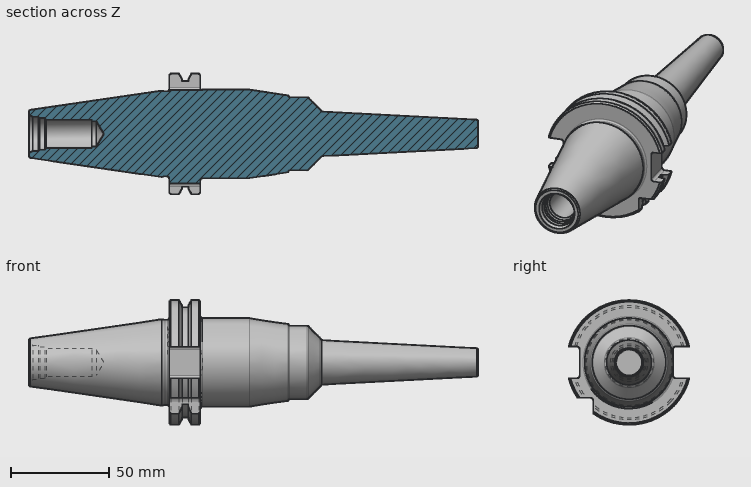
import cadquery as cq
import math

TOTAL_LENGTH = 228.2
TAPER_RATIO = 7 / 24
GAUGE_X = 68.2
GAUGE_RADIUS = 22.1
TAPER_EDGE_CHAMFER = 0.7

TAPER_END_X = 67.5
NECK_START_X = 69.0
NECK_RADIUS = 21.7
CORNER_FILLET = 1.0

FLANGE_START_X = 71.2
FLANGE_WIDTH = 16.0
FLANGE_RADIUS = 31.7
FLANGE_CHAMFER = 1.0
GROOVE_CENTRE_X = 79.5
GROOVE_FLOOR_RADIUS = 28.0
GROOVE_FLOOR_WIDTH = 3.2
GROOVE_WALL_HEIGHT = 1.0
GROOVE_HALF_ANGLE = 30.0

SLOT_WIDTH = 16.0
SLOT_FLOOR_FRONT = 25.0
SLOT_FLOOR_BACK = 22.4
SLOT_FILLET = 1.4
NOTCH_Y = 18.3
NOTCH_Z = 18.0
NOTCH_FILLET = 1.4

BODY_RADIUS = 22.5
BODY_END_X = 111.8
BODY_CONE_END_X = 131.5
LIP_FILLET = 0.5
COLLAR_RADIUS = 18.7
COLLAR_END_X = 141.3
COLLAR_ROUND_RADIUS = 1.0
SHOULDER_ANGLE = 45.0
SHOULDER_END_X = 147.7
NOSE_START_X = 148.8
NOSE_START_RADIUS = 11.5
NOSE_TIP_RADIUS = 7.3
NOSE_CHAMFER = 0.7

BORE_CORNERS = [
    (0.0, 9.5),
    (2.0, 8.7),
    (4.8, 8.7),
    (5.5, 8.0),
    (8.0, 8.0),
    (9.0, 7.0),
    (32.0, 7.0),
    (32.0, 6.5),
    (34.2, 6.5),
]
DRILL_POINT_HALF_ANGLE = 59.0

FLANGE_END_X = FLANGE_START_X + FLANGE_WIDTH


def taper_radius(x):
    """Radius of the spindle taper at position x."""
    return GAUGE_RADIUS - (GAUGE_X - x) * TAPER_RATIO / 2


def revolve_about_x(profile):
    return profile.close().revolve(360, (0, 0, 0), (1, 0, 0))


def make_turned_body():
    groove_half_floor = GROOVE_FLOOR_WIDTH / 2
    groove_wall_radius = GROOVE_FLOOR_RADIUS + GROOVE_WALL_HEIGHT
    flank_height = FLANGE_RADIUS - groove_wall_radius
    groove_half_top = groove_half_floor + flank_height * math.tan(math.radians(GROOVE_HALF_ANGLE))
    lip_x = BODY_CONE_END_X + LIP_FILLET
    shoulder_angle = math.radians(SHOULDER_ANGLE)
    shoulder_start_x = COLLAR_END_X + COLLAR_ROUND_RADIUS * math.sin(shoulder_angle)
    shoulder_start_radius = COLLAR_RADIUS - COLLAR_ROUND_RADIUS * (1 - math.cos(shoulder_angle))
    shoulder_length = SHOULDER_END_X - shoulder_start_x
    shoulder_end_radius = shoulder_start_radius - shoulder_length * math.tan(shoulder_angle)

    profile = (
        cq.Workplane("XY")
        .moveTo(0, 0)
        .lineTo(0, taper_radius(0) - TAPER_EDGE_CHAMFER)
        .lineTo(TAPER_EDGE_CHAMFER, taper_radius(TAPER_EDGE_CHAMFER))
        .lineTo(TAPER_END_X, taper_radius(TAPER_END_X))
        .lineTo(NECK_START_X, NECK_RADIUS)
        .lineTo(FLANGE_START_X - CORNER_FILLET, NECK_RADIUS)
        .radiusArc((FLANGE_START_X, NECK_RADIUS + CORNER_FILLET), -CORNER_FILLET)
        .lineTo(FLANGE_START_X, FLANGE_RADIUS - FLANGE_CHAMFER)
        .lineTo(FLANGE_START_X + FLANGE_CHAMFER, FLANGE_RADIUS)
        .lineTo(GROOVE_CENTRE_X - groove_half_top, FLANGE_RADIUS)
        .lineTo(GROOVE_CENTRE_X - groove_half_floor, groove_wall_radius)
        .lineTo(GROOVE_CENTRE_X - groove_half_floor, GROOVE_FLOOR_RADIUS)
        .lineTo(GROOVE_CENTRE_X + groove_half_floor, GROOVE_FLOOR_RADIUS)
        .lineTo(GROOVE_CENTRE_X + groove_half_floor, groove_wall_radius)
        .lineTo(GROOVE_CENTRE_X + groove_half_top, FLANGE_RADIUS)
        .lineTo(FLANGE_END_X - FLANGE_CHAMFER, FLANGE_RADIUS)
        .lineTo(FLANGE_END_X, FLANGE_RADIUS - FLANGE_CHAMFER)
        .lineTo(FLANGE_END_X, BODY_RADIUS + CORNER_FILLET)
        .radiusArc((FLANGE_END_X + CORNER_FILLET, BODY_RADIUS), -CORNER_FILLET)
        .lineTo(BODY_END_X, BODY_RADIUS)
        .lineTo(BODY_CONE_END_X, COLLAR_RADIUS + 2 * LIP_FILLET)
        .radiusArc((lip_x, COLLAR_RADIUS + LIP_FILLET), LIP_FILLET)
        .radiusArc((lip_x + LIP_FILLET, COLLAR_RADIUS), -LIP_FILLET)
        .lineTo(COLLAR_END_X, COLLAR_RADIUS)
        .radiusArc((shoulder_start_x, shoulder_start_radius), COLLAR_ROUND_RADIUS)
        .lineTo(SHOULDER_END_X, shoulder_end_radius)
        .lineTo(NOSE_START_X, NOSE_START_RADIUS)
        .lineTo(TOTAL_LENGTH - NOSE_CHAMFER, NOSE_TIP_RADIUS)
        .lineTo(TOTAL_LENGTH, NOSE_TIP_RADIUS - NOSE_CHAMFER)
        .lineTo(TOTAL_LENGTH, 0)
    )
    return revolve_about_x(profile)


def make_bore():
    drill_depth, drill_radius = BORE_CORNERS[-1]
    point_length = drill_radius / math.tan(math.radians(DRILL_POINT_HALF_ANGLE))
    corners = [(0, 0)] + BORE_CORNERS + [(drill_depth + point_length, 0)]
    return revolve_about_x(cq.Workplane("XY").polyline(corners))


def make_drive_slot(floor, side):
    """Slot cutter across the flange, on the +Y (side=1) or -Y (side=-1) side."""
    depth = FLANGE_RADIUS - floor
    centre_y = side * (floor + depth / 2)
    slot_length = FLANGE_WIDTH + 2 * CORNER_FILLET
    floor_edges = "|X and <Y" if side > 0 else "|X and >Y"
    return (
        cq.Workplane("XY")
        .box(slot_length, depth, SLOT_WIDTH, centered=(False, True, True))
        .edges(floor_edges)
        .fillet(SLOT_FILLET)
        .translate((FLANGE_START_X - CORNER_FILLET, centre_y, 0))
    )


def make_notch():
    """Cutter removing the lower -Y corner of the flange beyond the two notch walls."""
    return (
        cq.Workplane("XY")
        .box(FLANGE_WIDTH, FLANGE_RADIUS, FLANGE_RADIUS, centered=False)
        .edges("|X and >Y and >Z")
        .fillet(NOTCH_FILLET)
        .translate((FLANGE_START_X, -NOTCH_Y - FLANGE_RADIUS, -NOTCH_Z - FLANGE_RADIUS))
    )


result = (
    make_turned_body()
    .cut(make_bore())
    .cut(make_drive_slot(SLOT_FLOOR_FRONT, -1))
    .cut(make_drive_slot(SLOT_FLOOR_BACK, 1))
    .cut(make_notch())
)